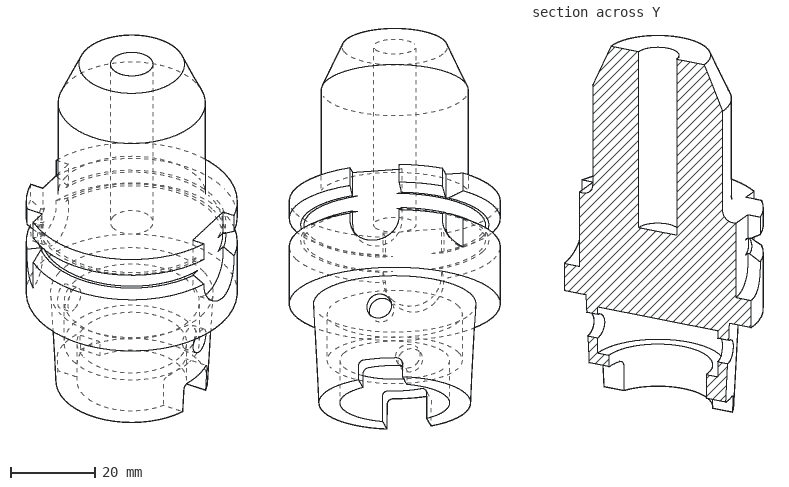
import cadquery as cq
import math

total_height = 90.0
flange_bottom = 25.0
groove_bottom = 41.1
groove_top = 45.0
flange_top = 51.0
nose_base = 79.0

flange_radius = 25.0
groove_radius = 21.5
groove_shoulder_radius = 22.3
neck_radius = 17.5
neck_fillet = 2.5
nose_radius = 12.5
shank_top_radius = 19.3
shank_end_radius = 18.0
groove_flank_angle = math.radians(30)
flank_height = (flange_radius - groove_shoulder_radius) * math.tan(groove_flank_angle)

tool_bore_diameter = 10.1
tool_bore_depth = 45.0
shank_bore_diameter = 26.0
shank_bore_depth = 22.5
clamping_recess_diameter = 32.0
clamping_recess_bottom = 10.8
cross_hole_diameter = 5.9
cross_hole_height = 17.6

slot_floor = 21.0
slot_end = 32.0
narrow_slot_width = 11.9
wide_slot_width = 14.0
corner_notch_wall = 15.5

drive_notch_width = 10.6
shallow_notch_height = 4.7
deep_notch_height = 7.8
drive_notch_fillet = 1.35


def turned_body():
    """Shank, grooved flange, neck and tapered nose revolved about Z."""
    fillet_middle = neck_fillet * (1 - math.sqrt(0.5))
    return (
        cq.Workplane("XZ")
        .lineTo(shank_end_radius, 0)
        .lineTo(shank_top_radius, flange_bottom)
        .lineTo(flange_radius, flange_bottom)
        .lineTo(flange_radius, groove_bottom - flank_height)
        .lineTo(groove_shoulder_radius, groove_bottom)
        .lineTo(groove_radius, groove_bottom)
        .lineTo(groove_radius, groove_top)
        .lineTo(groove_shoulder_radius, groove_top)
        .lineTo(flange_radius, groove_top + flank_height)
        .lineTo(flange_radius, flange_top)
        .lineTo(neck_radius + neck_fillet, flange_top)
        .threePointArc(
            (neck_radius + fillet_middle, flange_top + fillet_middle),
            (neck_radius, flange_top + neck_fillet),
        )
        .lineTo(neck_radius, nose_base)
        .lineTo(nose_radius, total_height)
        .lineTo(0, total_height)
        .close()
        .revolve(360, (0, 0, 0), (0, 1, 0))
    )


def flange_slot(side, floor, width, center_y):
    """Cutter for a round-bottomed slot open upward and outward on the given X side."""
    radius = width / 2
    arc_center = slot_end + radius
    return (
        cq.Workplane("YZ", origin=(side * floor, 0, 0))
        .moveTo(center_y - radius, flange_top)
        .lineTo(center_y - radius, arc_center)
        .threePointArc((center_y, slot_end), (center_y + radius, arc_center))
        .lineTo(center_y + radius, flange_top)
        .close()
        .extrude(side * flange_radius)
    )


def drive_notch(side, height):
    """Cutter for a notch through the shank wall on the given X side."""
    return (
        cq.Workplane("XY")
        .box(flange_radius, drive_notch_width, 2 * height)
        .edges("|X and >Z")
        .fillet(drive_notch_fillet)
        .translate((side * flange_radius / 2, 0, 0))
    )


tool_bore = (
    cq.Workplane("XY", origin=(0, 0, total_height))
    .circle(tool_bore_diameter / 2)
    .extrude(-tool_bore_depth)
)
shank_bore = cq.Workplane("XY").circle(shank_bore_diameter / 2).extrude(shank_bore_depth)
clamping_recess = (
    cq.Workplane("XY", origin=(0, 0, clamping_recess_bottom))
    .circle(clamping_recess_diameter / 2)
    .extrude(shank_bore_depth - clamping_recess_bottom)
)
cross_hole = (
    cq.Workplane("YZ", origin=(0, 0, cross_hole_height))
    .circle(cross_hole_diameter / 2)
    .extrude(flange_radius, both=True)
)
corner_notch_center = -corner_notch_wall - narrow_slot_width / 2

cutters = [
    tool_bore,
    shank_bore,
    clamping_recess,
    cross_hole,
    flange_slot(-1, slot_floor, narrow_slot_width, 0),
    flange_slot(1, slot_floor, wide_slot_width, 0),
    flange_slot(-1, corner_notch_wall, narrow_slot_width, corner_notch_center),
    drive_notch(-1, shallow_notch_height),
    drive_notch(1, deep_notch_height),
]

result = turned_body()
for cutter in cutters:
    result = result.cut(cutter)